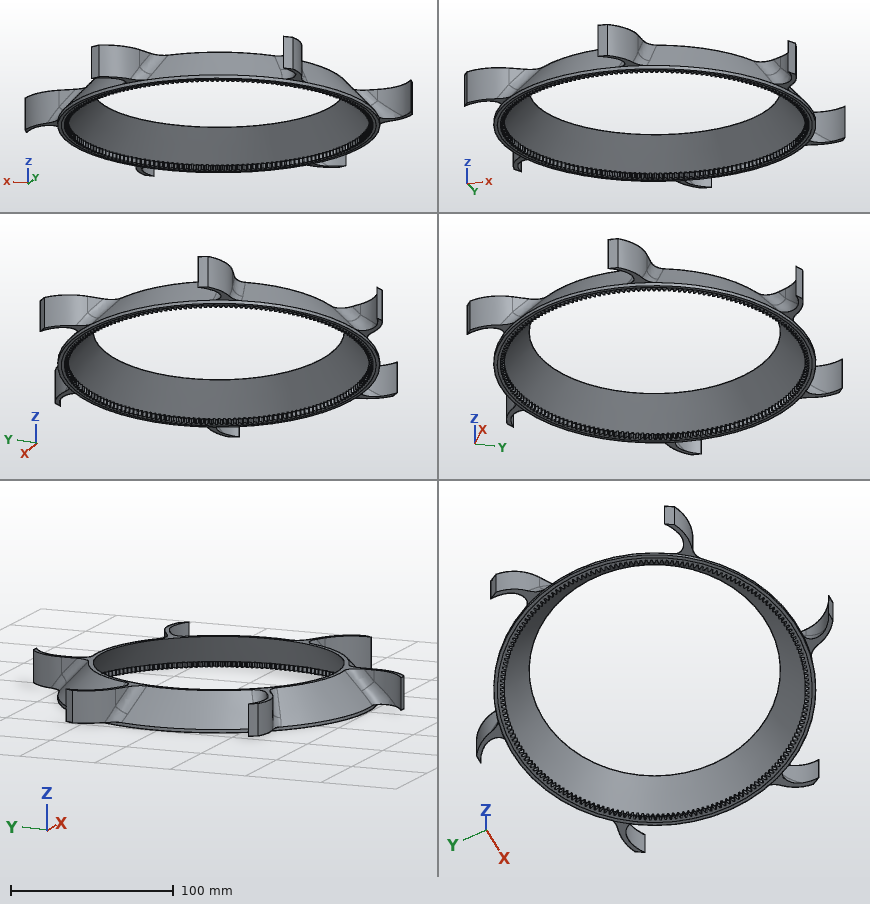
import cadquery as cq
import math

TOTAL_HEIGHT = 22.5
RIM_HEIGHT = 2.2
HUB_HEIGHT = TOTAL_HEIGHT - RIM_HEIGHT
GEAR_HEIGHT = 3.0

BASE_OUTER_RADIUS = 98.8
BASE_INNER_RADIUS = 94.8
TOP_OUTER_RADIUS = 80.1
TOP_INNER_RADIUS = 77.0

BLADE_COUNT = 6
BLADE_TIP_RADIUS = 120.0
BLADE_ROOT_Y = 76.8
BLADE_ARC_CENTRE = (8.9, 96.0)
FACE_ARC_RADIUS = 26.5
BLADE_THICKNESS = 2.9
BACK_ARC_RADIUS = FACE_ARC_RADIUS + BLADE_THICKNESS
ROOT_ANGLE = 180.0
END_ANGLE = 100.0
BLADE_FILLET = 7.2

TOOTH_COUNT = 187
TOOTH_TIP_RADIUS = 92.4
TOOTH_ROOT_RADIUS = BASE_INNER_RADIUS
GEAR_OUTER_RADIUS = 96.7
TIP_LAND = 0.25
ROOT_LAND = 0.25


def polar(radius, degrees, centre=(0, 0)):
    """Point at a radius and angle about a centre."""
    angle = math.radians(degrees)
    return (centre[0] + radius * math.cos(angle), centre[1] + radius * math.sin(angle))


def hub_cone(base_radius, top_radius):
    """Solid frustum spanning the height of the hub."""
    base_centre = cq.Vector(0, 0, RIM_HEIGHT)
    return cq.Workplane(obj=cq.Solid.makeCone(base_radius, top_radius, HUB_HEIGHT, pnt=base_centre))


def make_blade():
    """One upright blade, its root buried in the hub cone."""

    def back(degrees):
        return polar(BACK_ARC_RADIUS, degrees, BLADE_ARC_CENTRE)

    def face(degrees):
        return polar(FACE_ARC_RADIUS, degrees, BLADE_ARC_CENTRE)

    base = cq.Workplane("XY", origin=(0, 0, RIM_HEIGHT))
    profile = (
        base.moveTo(back(ROOT_ANGLE)[0], BLADE_ROOT_Y)
        .lineTo(*back(ROOT_ANGLE))
        .threePointArc(back((ROOT_ANGLE + END_ANGLE) / 2), back(END_ANGLE))
        .lineTo(*face(END_ANGLE))
        .threePointArc(face((ROOT_ANGLE + END_ANGLE) / 2), face(ROOT_ANGLE))
        .lineTo(face(ROOT_ANGLE)[0], BLADE_ROOT_Y)
        .close()
        .extrude(HUB_HEIGHT)
    )
    return profile.intersect(base.circle(BLADE_TIP_RADIUS).extrude(HUB_HEIGHT))


def make_impeller():
    """Hollow conical hub with blades blended into its outer face."""
    impeller = hub_cone(BASE_OUTER_RADIUS, TOP_OUTER_RADIUS)
    blade = make_blade()
    for index in range(BLADE_COUNT):
        turn = index * 360 / BLADE_COUNT
        impeller = impeller.union(blade.rotate((0, 0, 0), (0, 0, 1), turn))
    impeller = impeller.edges("not (%LINE or %CIRCLE)").fillet(BLADE_FILLET)
    impeller = impeller.cut(hub_cone(BASE_INNER_RADIUS, TOP_INNER_RADIUS))
    rim = cq.Workplane("XY").circle(BASE_OUTER_RADIUS).circle(BASE_INNER_RADIUS).extrude(RIM_HEIGHT)
    gear_seat = cq.Workplane("XY").circle(GEAR_OUTER_RADIUS).extrude(GEAR_HEIGHT)
    return impeller.union(rim).cut(gear_seat).solids()


def make_gear_ring():
    """Flat ring seated in the underside of the hub, with trapezoidal teeth pointing inwards."""
    pitch = 360 / TOOTH_COUNT
    outline = []
    for index in range(TOOTH_COUNT):
        middle = index * pitch
        root_start = middle + pitch * (1 - ROOT_LAND) / 2
        outline += [
            polar(TOOTH_TIP_RADIUS, middle - pitch * TIP_LAND / 2),
            polar(TOOTH_TIP_RADIUS, middle + pitch * TIP_LAND / 2),
            polar(TOOTH_ROOT_RADIUS, root_start),
            polar(TOOTH_ROOT_RADIUS, root_start + pitch * ROOT_LAND),
        ]
    return cq.Workplane("XY").circle(GEAR_OUTER_RADIUS).polyline(outline).close().extrude(GEAR_HEIGHT)


impeller = make_impeller()
gear_ring = make_gear_ring()
result = cq.Compound.makeCompound([impeller.val(), gear_ring.val()])